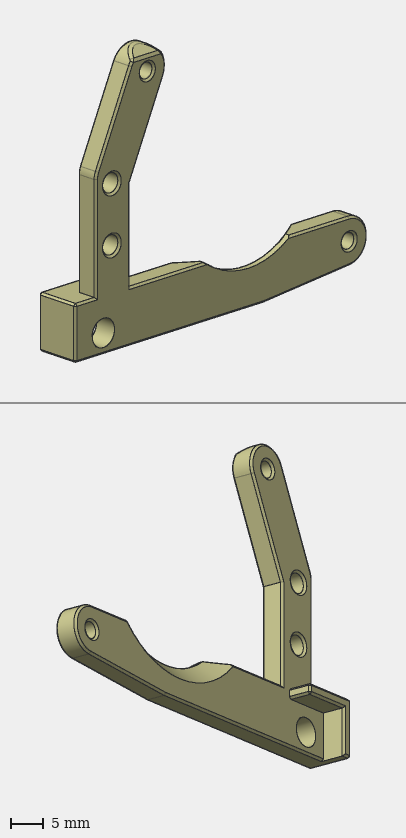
import cadquery as cq
import math

plate_thickness = 4.0
edge_chamfer = 0.4
head_radius = 4.0

bar_length = 62.25
bar_height = 9.5
taper_start_y = 40.2
bar_head_y = bar_length - head_radius
bar_head_z = bar_height - head_radius

arm_front_y = 4.35
arm_back_y = 11.75
arm_top = 47.5
arm_tilt = math.radians(24.7)
arm_head_y = 15.3
arm_head_z = arm_top - head_radius
bend_radius = 3.0

pivot_diameter = 2.7
arm_hole_diameter = 3.25
arm_hole_y = 7.8
arm_hole_heights = (17.2, 27.2)
base_hole_diameter = 4.7
base_hole_y = 6.0
base_hole_z = 3.5

scallop_y = 36.7
scallop_z = 21.2
scallop_large_radius = 17.7
scallop_cone_depth = 2.85
scallop_small_radius = scallop_large_radius - scallop_cone_depth

flat_start_x = 1.4
flat_angle = math.radians(30)

lug_overhang = 4.05
lug_length = 10.0
lug_wall = 1.75


def slab(outline):
    """Extrude a closed YZ outline through the plate thickness."""
    return outline.close().extrude(plate_thickness)


def make_bar():
    dy = bar_head_y - taper_start_y
    tangent_angle = math.atan2(bar_head_z, dy) - math.asin(head_radius / math.hypot(dy, bar_head_z))
    tangent_y = bar_head_y + head_radius * math.sin(tangent_angle)
    tangent_z = bar_head_z - head_radius * math.cos(tangent_angle)
    start_y = lug_wall / 2
    return slab(
        cq.Workplane("YZ")
        .moveTo(start_y, 0)
        .lineTo(taper_start_y, 0)
        .lineTo(tangent_y, tangent_z)
        .threePointArc((bar_length, bar_head_z), (bar_head_y, bar_height))
        .lineTo(start_y, bar_height)
    )


def make_arm():
    side_y = head_radius * math.cos(arm_tilt)
    side_z = head_radius * math.sin(arm_tilt)
    front_y, front_z = arm_head_y - side_y, arm_head_z + side_z
    back_y, back_z = arm_head_y + side_y, arm_head_z - side_z
    front_bend_z = front_z - (front_y - arm_front_y) / math.tan(arm_tilt)
    back_bend_z = back_z - (back_y - arm_back_y) / math.tan(arm_tilt)
    arm = slab(
        cq.Workplane("YZ")
        .moveTo(arm_front_y, 0)
        .lineTo(arm_front_y, front_bend_z)
        .lineTo(front_y, front_z)
        .threePointArc((arm_head_y, arm_top), (back_y, back_z))
        .lineTo(arm_back_y, back_bend_z)
        .lineTo(arm_back_y, 0)
    )
    front_bend = cq.selectors.NearestToPointSelector((plate_thickness / 2, arm_front_y, front_bend_z))
    return arm.edges("|X").edges(front_bend).fillet(bend_radius)


def make_head_flat_cutter():
    run = plate_thickness - flat_start_x
    drop = run * math.tan(flat_angle)
    return (
        cq.Workplane("XZ")
        .moveTo(flat_start_x, arm_top)
        .lineTo(plate_thickness, arm_top - drop)
        .lineTo(plate_thickness, arm_top)
        .close()
        .extrude(head_radius, both=True)
        .translate((0, arm_head_y, 0))
    )


def make_lug():
    lug = (
        cq.Workplane("YZ", origin=(-lug_overhang, 0, 0))
        .polyline([
            (0, 0),
            (lug_wall, 0),
            (lug_wall, bar_height - lug_wall),
            (lug_length, bar_height - lug_wall),
            (lug_length, bar_height),
            (0, bar_height),
        ])
        .close()
        .extrude(lug_overhang + plate_thickness)
    )
    return lug.faces("<X or >X or <Y or >Y").edges().chamfer(edge_chamfer)


def make_scallop_cutter():
    return (
        cq.Workplane("XY", origin=(0, scallop_y, scallop_z))
        .lineTo(0, scallop_large_radius)
        .lineTo(scallop_cone_depth, scallop_small_radius)
        .lineTo(plate_thickness, scallop_small_radius)
        .lineTo(plate_thickness, 0)
        .close()
        .revolve(360, (0, 0, 0), (1, 0, 0))
    )


def make_hole_cutter(diameter, y, z, chamfer=0.0):
    """Through hole, flared at both faces when a chamfer is given."""
    radius = diameter / 2
    cutter = cq.Workplane("YZ").center(y, z).circle(radius).extrude(plate_thickness)
    if chamfer > 0:
        for face_x, inward in ((0, 1), (plate_thickness, -1)):
            flare = cq.Solid.makeCone(
                radius + chamfer, radius, chamfer, cq.Vector(face_x, y, z), cq.Vector(inward, 0, 0)
            )
            cutter = cutter.union(cq.Workplane(flare))
    return cutter


plate = make_bar().union(make_arm()).cut(make_head_flat_cutter())
flat_normal = cq.Vector(math.sin(flat_angle), 0, math.cos(flat_angle))
head_flat = cq.selectors.ParallelDirSelector(flat_normal)
plate_faces = cq.selectors.StringSyntaxSelector("<X or >X")
plate = plate.faces(plate_faces + head_flat).edges().chamfer(edge_chamfer)
plate = plate.cut(make_scallop_cutter())

result = plate.union(make_lug())
for head_y, head_z in ((bar_head_y, bar_head_z), (arm_head_y, arm_head_z)):
    result = result.cut(make_hole_cutter(pivot_diameter, head_y, head_z, edge_chamfer))
for hole_z in arm_hole_heights:
    result = result.cut(make_hole_cutter(arm_hole_diameter, arm_hole_y, hole_z, edge_chamfer))
result = result.cut(make_hole_cutter(base_hole_diameter, base_hole_y, base_hole_z))